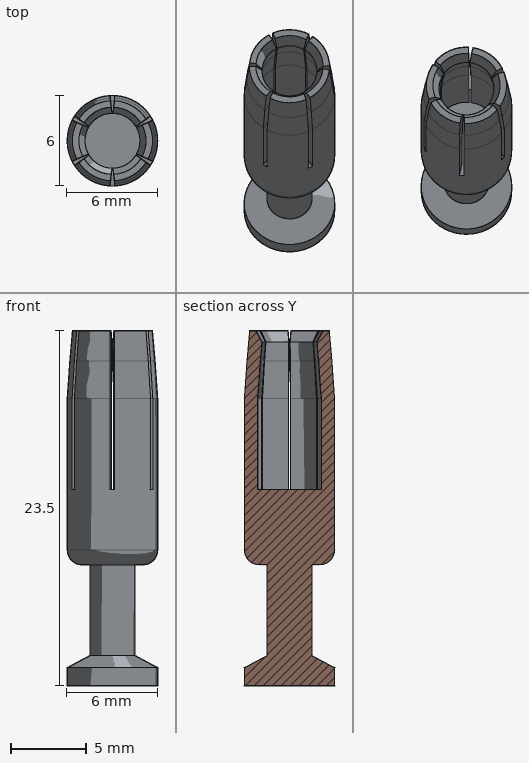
import cadquery as cq
import math

total_height = 23.5
body_radius = 3.0

flange_rim_height = 1.2
flange_height = 2.0
shank_radius = 1.5

body_bottom = 8.0
body_fillet = 1.0
lower_cone_height = 2.5
lower_cone_angle = 4.0
upper_cone_height = 2.0
upper_cone_angle = 5.0
lower_cone_slope = math.tan(math.radians(lower_cone_angle))
upper_cone_slope = math.tan(math.radians(upper_cone_angle))
cone_ring_z = total_height - upper_cone_height
taper_bottom = cone_ring_z - lower_cone_height

wall_thickness = 0.9
bore_radius = body_radius - wall_thickness
mouth_inner_radius = 2.22
lip_depth = 0.75

slot_count = 6
first_slot_angle = 30.0
slot_depth = 10.5
slot_bottom = total_height - slot_depth
slot_outer_width = 0.3
slot_inner_width = 0.12
slot_inner_mouth_width = 0.05
slot_margin = 0.2

bore_bottom = slot_bottom


def taper_inset_at(z):
    """Inward shift of the sleeve wall at a height, zero below the taper."""
    lower_part = max(min(z, cone_ring_z) - taper_bottom, 0)
    upper_part = max(z - cone_ring_z, 0)
    return lower_cone_slope * lower_part + upper_cone_slope * upper_part


def revolve_profile(profile):
    """Turn a closed radius-height profile about the Z axis."""
    return profile.close().revolve(360, (0, 0, 0), (0, 1, 0))


def make_outer_body():
    """Foot flange, shank and tapered sleeve as one turned solid."""
    fillet_mid_offset = body_fillet * math.sqrt(0.5)
    fillet_center_r = body_radius - body_fillet
    fillet_center_z = body_bottom + body_fillet
    profile = (
        cq.Workplane("XZ")
        .moveTo(0, 0)
        .lineTo(body_radius, 0)
        .lineTo(body_radius, flange_rim_height)
        .lineTo(shank_radius, flange_height)
        .lineTo(shank_radius, body_bottom)
        .lineTo(fillet_center_r, body_bottom)
        .threePointArc(
            (fillet_center_r + fillet_mid_offset, fillet_center_z - fillet_mid_offset),
            (body_radius, fillet_center_z),
        )
        .lineTo(body_radius, taper_bottom)
        .lineTo(body_radius - taper_inset_at(cone_ring_z), cone_ring_z)
        .lineTo(body_radius - taper_inset_at(total_height), total_height)
        .lineTo(0, total_height)
    )
    return revolve_profile(profile)


def make_bore():
    """Blind bore that narrows to a throat and flares out at the mouth."""
    throat_z = total_height - lip_depth
    profile = (
        cq.Workplane("XZ")
        .moveTo(0, bore_bottom)
        .lineTo(bore_radius, bore_bottom)
        .lineTo(bore_radius, taper_bottom)
        .lineTo(bore_radius - taper_inset_at(cone_ring_z), cone_ring_z)
        .lineTo(bore_radius - taper_inset_at(throat_z), throat_z)
        .lineTo(mouth_inner_radius, total_height)
        .lineTo(0, total_height)
    )
    return revolve_profile(profile)


def slot_section(z):
    """Closed wedge-shaped slot section at a height, widening away from the axis."""
    inset = taper_inset_at(z)
    closing = inset / taper_inset_at(total_height)
    inner_width = slot_inner_width + closing * (slot_inner_mouth_width - slot_inner_width)
    half_flare = (slot_outer_width - inner_width) / 2 / wall_thickness
    inner_r = bore_radius - inset
    outer_r = body_radius - inset + slot_margin
    inner_half = inner_width / 2
    outer_half = slot_outer_width / 2 + half_flare * slot_margin
    tail_r = inner_r - slot_margin
    corners = [
        (tail_r, -inner_half, z),
        (inner_r, -inner_half, z),
        (outer_r, -outer_half, z),
        (outer_r, outer_half, z),
        (inner_r, inner_half, z),
        (tail_r, inner_half, z),
    ]
    return cq.Wire.makePolygon([cq.Vector(*corner) for corner in corners], close=True)


def make_slot():
    """One slot along +X: upright below the taper, leaning inward with the cones above."""
    levels = (slot_bottom, taper_bottom, cone_ring_z, total_height)
    sections = [slot_section(z) for z in levels]
    return cq.Workplane(obj=cq.Solid.makeLoft(sections, True))


def cut_slots(sleeve):
    """Cut the evenly spaced slots through the sleeve wall."""
    slot = make_slot()
    for index in range(slot_count):
        angle = first_slot_angle + index * 360.0 / slot_count
        sleeve = sleeve.cut(slot.rotate((0, 0, 0), (0, 0, 1), angle))
    return sleeve


result = cut_slots(make_outer_body().cut(make_bore()))